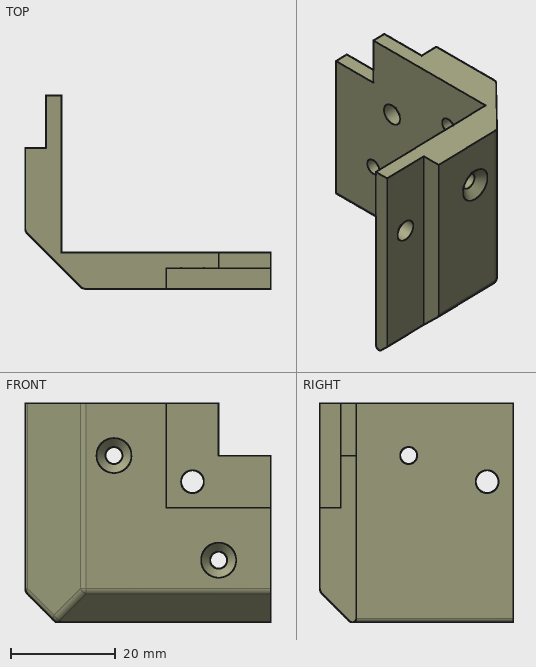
import cadquery as cq
import math


length_x = 47.0
length_y = 37.0
wall = 7.0

bevel = 11.0
bevel_start_depth = 36.0
full_depth = bevel_start_depth + bevel
edge_radius = 1.5

lower_edge_radius = 0.8

tab_thickness = 3.0
lap_depth = wall - tab_thickness
lap_width_y = 10.0
lap_width_x = 20.0
lap_height_x = 20.0
notch = 10.0

screw_diameter = 3.2
countersink_diameter = 6.7
countersink_angle = 90.0
tab_hole_diameter = 4.3
upper_screw_depth = 10.0
lower_screw_depth = 30.0
upper_screw_x = 17.0
lower_screw_inset = 10.0
lower_screw_x = length_x - lower_screw_inset
screw_y = 17.0
tab_hole_depth = 15.0
tab_hole_x = 32.0
tab_hole_y = length_y - lap_width_y / 2


def block(low, high):
    """Axis-aligned box between two opposite corners."""
    size = [end - start for start, end in zip(low, high)]
    return cq.Workplane("XY").box(*size, centered=False).translate(low)


def bevel_wedge(plane, corner_u, corner_v):
    """Triangular prism that bevels one edge of the corner block and overruns it at both ends."""
    outline = [
        (corner_u, corner_v),
        (corner_u + bevel, corner_v),
        (corner_u, corner_v + bevel),
    ]
    return cq.Workplane(plane).polyline(outline).close().extrude(2 * length_x, both=True)


def bevelled_block():
    """Block whose three edges at the outer bottom corner are bevelled, then rounded."""
    body = block((0, 0, -full_depth), (length_x, length_y, 0))
    for plane, corner_u, corner_v in (
        ("XY", 0, 0),
        ("YZ", 0, -full_depth),
        ("ZX", -full_depth, 0),
    ):
        body = body.cut(bevel_wedge(plane, corner_u, corner_v))
    return body.edges("not (>X or >Y or >Z or <Z)").fillet(edge_radius)


def wall_slab(plane, length):
    """Wall whose sloped underside runs down to a rounded lower edge at the inner face."""
    outline = [
        (0, 0),
        (wall, 0),
        (wall, -bevel_start_depth - wall),
        (0, -bevel_start_depth),
    ]
    slab = cq.Workplane(plane).polyline(outline).close().extrude(length)
    return slab.edges("<Z").fillet(lower_edge_radius)


def corner_walls():
    """Two walls meeting at the bevelled corner."""
    along_x = wall_slab("YZ", length_x)
    along_y = wall_slab("XZ", -length_y)
    return bevelled_block().intersect(along_x.union(along_y))


def lap_cuts():
    """Outer steps that thin the free ends of both walls, and the notch in the X tab."""
    step_x = block((length_x - lap_width_x, 0, -lap_height_x), (length_x, lap_depth, 0))
    step_y = block((0, length_y - lap_width_y, -full_depth), (lap_depth, length_y, 0))
    tab_notch = block((length_x - notch, 0, -notch), (length_x, wall, 0))
    return step_x.union(step_y).union(tab_notch)


def countersunk_screw(point, direction):
    """Through hole with a conical countersink, starting on an outer face."""
    radius = screw_diameter / 2
    sink_radius = countersink_diameter / 2
    sink_depth = (sink_radius - radius) / math.tan(math.radians(countersink_angle / 2))
    shank = cq.Solid.makeCylinder(radius, wall, point, direction)
    sink = cq.Solid.makeCone(sink_radius, radius, sink_depth, point, direction)
    return shank.fuse(sink)


def tab_hole(point, direction):
    """Plain through hole in a tab."""
    return cq.Solid.makeCylinder(tab_hole_diameter / 2, wall, point, direction)


def holes():
    """All countersunk screw holes and plain tab holes."""
    inward_x = cq.Vector(1, 0, 0)
    inward_y = cq.Vector(0, 1, 0)
    return [
        countersunk_screw(cq.Vector(upper_screw_x, 0, -upper_screw_depth), inward_y),
        countersunk_screw(cq.Vector(lower_screw_x, 0, -lower_screw_depth), inward_y),
        countersunk_screw(cq.Vector(0, screw_y, -upper_screw_depth), inward_x),
        tab_hole(cq.Vector(tab_hole_x, 0, -tab_hole_depth), inward_y),
        tab_hole(cq.Vector(0, tab_hole_y, -tab_hole_depth), inward_x),
    ]


result = corner_walls().cut(lap_cuts())
for hole in holes():
    result = result.cut(hole)